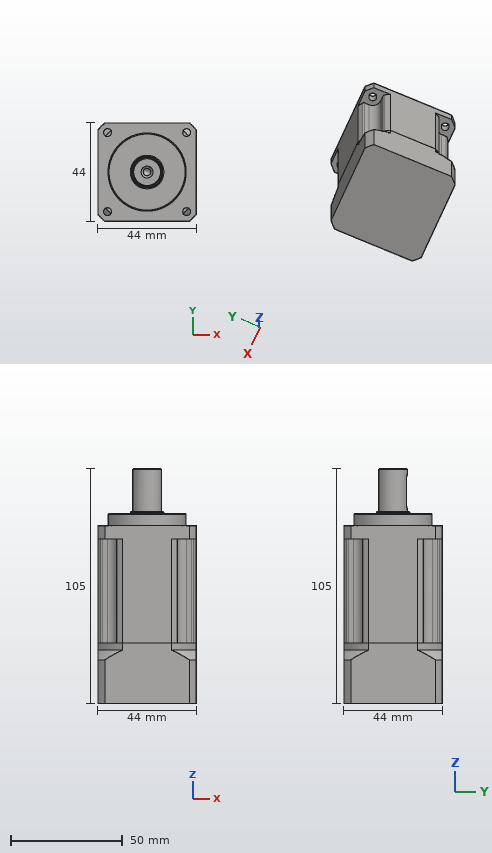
import cadquery as cq
import math

square_width = 44.0
corner_radius = 29.0
waist_radius = 24.6

cone_bottom_z = 19.5
adapter_top_z = 27.0
flange_bottom_z = 73.5
flange_top_z = 79.5
pilot_top_z = 85.0
shaft_top_z = 105.0

bolt_circle_diameter = 50.0
bolt_offset = bolt_circle_diameter / 2 / math.sqrt(2)
bolt_hole_diameter = 3.5
groove_radius = 4.0
groove_edge_fillet = 1.0
groove_wall = bolt_offset - groove_radius

pilot_diameter = 35.0
pilot_chamfer = 0.5
collar_diameter = 15.0
collar_height = 0.9
collar_chamfer = 0.5
shaft_diameter = 13.0
shaft_chamfer = 0.5

key_width = 5.0
key_length = 16.0
key_depth = 3.0
key_center_z = 94.7

centre_hole_diameter = 3.3
centre_hole_depth = 10.0
centre_hole_tip_angle = 118.0
countersink_diameter = 5.3
countersink_angle = 90.0


def square_prism(bottom_z, top_z):
    base = cq.Workplane("XY", origin=(0, 0, bottom_z))
    return base.rect(square_width, square_width).extrude(top_z - bottom_z)


def cylinder(diameter, bottom_z, top_z):
    return cq.Workplane("XY", origin=(0, 0, bottom_z)).circle(diameter / 2).extrude(top_z - bottom_z)


def rounded_square(radius, bottom_z, top_z):
    return square_prism(bottom_z, top_z).intersect(cylinder(2 * radius, bottom_z, top_z))


def make_adapter():
    """Square motor adapter whose corners lean in at 45 degrees to the waist round."""
    cone_top_z = cone_bottom_z + corner_radius - waist_radius
    envelope = (
        cq.Workplane("XZ")
        .lineTo(corner_radius, 0)
        .lineTo(corner_radius, cone_bottom_z)
        .lineTo(waist_radius, cone_top_z)
        .lineTo(waist_radius, adapter_top_z)
        .lineTo(0, adapter_top_z)
        .close()
        .revolve()
    )
    return square_prism(0, adapter_top_z).intersect(envelope)


def make_bolt_groove():
    """Cutter for the +X +Y corner: a round root with two walls running outwards along X and Y."""
    reach = square_width
    return (
        cq.Workplane("XY", origin=(0, 0, adapter_top_z))
        .moveTo(reach, groove_wall)
        .lineTo(bolt_offset, groove_wall)
        .radiusArc((groove_wall, bolt_offset), groove_radius)
        .lineTo(groove_wall, reach)
        .lineTo(reach, reach)
        .close()
        .extrude(flange_bottom_z - adapter_top_z)
    )


def make_waist():
    """Housing between adapter and flange, with a bolt groove down each corner."""
    waist = rounded_square(waist_radius, adapter_top_z, flange_bottom_z)
    groove = make_bolt_groove()
    for corner in range(4):
        waist = waist.cut(groove.rotate((0, 0, 0), (0, 0, 1), 90 * corner))

    edge_reach = math.sqrt(waist_radius**2 - groove_wall**2)
    mid_z = (adapter_top_z + flange_bottom_z) / 2
    for x_sign in (1, -1):
        for y_sign in (1, -1):
            for x, y in ((edge_reach, groove_wall), (groove_wall, edge_reach)):
                edge = cq.selectors.NearestToPointSelector((x_sign * x, y_sign * y, mid_z))
                waist = waist.edges(edge).fillet(groove_edge_fillet)
    return waist


def make_flange():
    return (
        rounded_square(corner_radius, flange_bottom_z, flange_top_z)
        .faces(">Z")
        .workplane()
        .rect(2 * bolt_offset, 2 * bolt_offset, forConstruction=True)
        .vertices()
        .hole(bolt_hole_diameter)
    )


def make_pilot_and_collar():
    pilot = cylinder(pilot_diameter, flange_top_z, pilot_top_z).faces(">Z").chamfer(pilot_chamfer)
    collar = cylinder(collar_diameter, pilot_top_z, pilot_top_z + collar_height)
    return pilot.union(collar.faces(">Z").chamfer(collar_chamfer))


def make_keyway():
    """Round-ended keyway cutter, from the keyway floor outwards along +Y."""
    floor_y = shaft_diameter / 2 - key_depth
    return (
        cq.Workplane("XZ", origin=(0, floor_y, key_center_z))
        .slot2D(key_length, key_width, 90)
        .extrude(-shaft_diameter)
    )


def make_centre_hole():
    """Countersunk blind hole with a drill-point bottom."""
    hole_radius = centre_hole_diameter / 2
    sink_radius = countersink_diameter / 2
    sink_depth = (sink_radius - hole_radius) / math.tan(math.radians(countersink_angle / 2))
    tip_depth = hole_radius / math.tan(math.radians(centre_hole_tip_angle / 2))
    return (
        cq.Workplane("XZ", origin=(0, 0, shaft_top_z))
        .lineTo(sink_radius, 0)
        .lineTo(hole_radius, -sink_depth)
        .lineTo(hole_radius, -centre_hole_depth)
        .lineTo(0, -centre_hole_depth - tip_depth)
        .close()
        .revolve()
    )


def make_shaft():
    shaft = cylinder(shaft_diameter, pilot_top_z, shaft_top_z).faces(">Z").chamfer(shaft_chamfer)
    return shaft.cut(make_keyway()).cut(make_centre_hole())


def make_gearbox():
    return make_waist().union(make_flange()).union(make_pilot_and_collar()).union(make_shaft())


adapter = make_adapter()
gearbox = make_gearbox()

result = cq.Compound.makeCompound([adapter.val(), gearbox.val()])